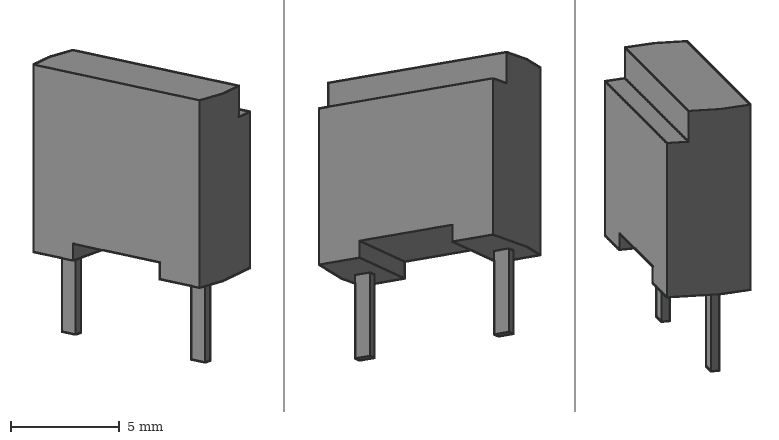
import cadquery as cq
import math

total_height = 13.0
housing_height = 9.0
housing_width = 10.0
housing_depth = 4.0

ridge_from_front = 1.5
side_taper_angle = 7.0

step_depth = 1.0
step_height = 1.5

notch_width = 5.0
notch_height = 0.8

pin_width = 0.8
pin_thickness = 0.4
pin_pitch = 7.5
pin_length = total_height - housing_height

front_y = -ridge_from_front
back_y = front_y + housing_depth


def half_width_at(y):
    """Half the housing width at a given distance from the side ridges."""
    return housing_width / 2 - abs(y) * math.tan(math.radians(side_taper_angle))


def make_housing():
    front_half = half_width_at(front_y)
    ridge_half = half_width_at(0)
    back_half = half_width_at(back_y)
    outline = [
        (-front_half, front_y),
        (front_half, front_y),
        (ridge_half, 0),
        (back_half, back_y),
        (-back_half, back_y),
        (-ridge_half, 0),
    ]
    block = cq.Workplane("XY").polyline(outline).close().extrude(housing_height)
    return block.cut(make_step_cutter()).cut(make_notch_cutter())


def make_step_cutter():
    """Full-width cut along the top rear edge."""
    return (
        cq.Workplane("XY")
        .box(housing_width, step_depth, step_height, centered=(True, False, False))
        .translate((0, back_y - step_depth, housing_height - step_height))
    )


def make_notch_cutter():
    """Cut through the whole depth at the middle of the bottom face."""
    return (
        cq.Workplane("XY")
        .box(notch_width, housing_depth, notch_height, centered=(True, False, False))
        .translate((0, front_y, 0))
    )


def make_pin(x):
    """Flat pin hanging from the bottom face of a housing foot, in line with the side ridges."""
    return (
        cq.Workplane("XY")
        .box(pin_width, pin_thickness, pin_length, centered=(True, True, False))
        .translate((x, 0, -pin_length))
    )


housing = make_housing()
pins = [make_pin(side * pin_pitch / 2) for side in (-1, 1)]

result = cq.Compound.makeCompound([housing.val(), *[pin.val() for pin in pins]])